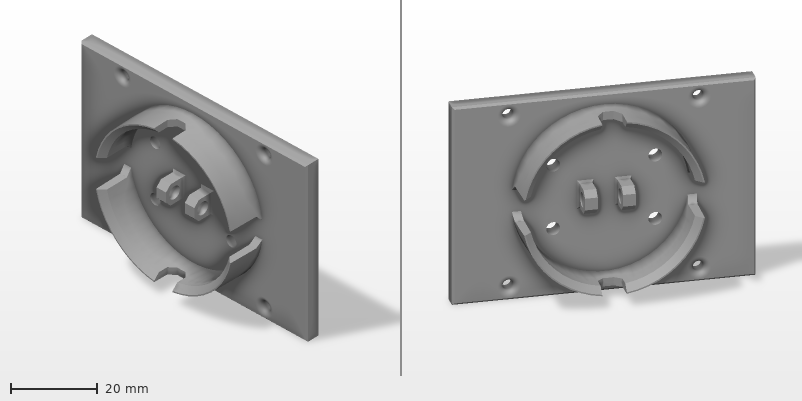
import cadquery as cq

plate_width = 72.25
plate_height = 50.0
plate_thickness = 4.0
plate_chamfer = 0.5
front_y = 0.0

total_depth = 14.0
ring_height = total_depth - plate_thickness
ring_base_radius = 22.2
ring_tip_radius = 22.0
ring_inner_radius = 20.0
rim_chamfer = 1.6

side_gap_width = 8.95
side_gap_chamfer = 1.7
notch_width = 5.85
notch_chamfer = 1.65
notch_floor_height = 4.0

corner_spacing_x = 45.2
corner_spacing_z = 43.2
corner_hole_diameter = 2.5
corner_mouth_diameter = 5.5
corner_mouth_radius = (corner_mouth_diameter - corner_hole_diameter) / 2
inner_spacing_x = 24.3
inner_spacing_z = 16.05
inner_hole_diameter = 3.25

lug_spacing = 9.0
lug_width = 3.0
lug_length = 6.0
lug_height = 6.0
lug_corner_chamfer = 1.5
lug_hole_diameter = 3.6
lug_hole_height = 3.2
lug_foot = 0.5


def front_plane(height=0.0):
    """Plane parallel to the plate, facing -Y, at a height above its front face."""
    return cq.Workplane("XZ", origin=(0, front_y - height, 0))


def make_plate():
    plate = front_plane().rect(plate_width, plate_height).extrude(-plate_thickness)
    return plate.faces("<Y").edges().chamfer(plate_chamfer)


def opening_points(width, chamfer, floor_height):
    """Outline of an opening as (across, height), with chamfered floor corners."""
    half = width / 2
    return [
        (-half, ring_height),
        (-half, floor_height + chamfer),
        (-half + chamfer, floor_height),
        (half - chamfer, floor_height),
        (half, floor_height + chamfer),
        (half, ring_height),
    ]


def make_ring():
    profile = [
        (ring_inner_radius, front_y),
        (ring_base_radius, front_y),
        (ring_tip_radius, front_y - ring_height),
        (ring_inner_radius + rim_chamfer, front_y - ring_height),
        (ring_inner_radius, front_y - ring_height + rim_chamfer),
    ]
    ring = cq.Workplane("XY").polyline(profile).close().revolve(360, (0, 0, 0), (0, 1, 0))

    side_gap = [
        (front_y - height, across)
        for across, height in opening_points(side_gap_width, side_gap_chamfer, 0)
    ]
    notch = [
        (across, front_y - height)
        for across, height in opening_points(notch_width, notch_chamfer, notch_floor_height)
    ]
    ring = ring.cut(cq.Workplane("YZ").polyline(side_gap).close().extrude(plate_width, both=True))
    return ring.cut(cq.Workplane("XY").polyline(notch).close().extrude(plate_height, both=True))


def make_lug(x):
    lug = front_plane().center(x, 0).rect(lug_width, lug_length).extrude(lug_height)
    lug = lug.faces("<Y").edges("|X").chamfer(lug_corner_chamfer)
    foot = (
        front_plane()
        .center(x, 0)
        .rect(lug_width + 2 * lug_foot, lug_length + 2 * lug_foot)
        .workplane(offset=lug_foot)
        .rect(lug_width, lug_length)
        .loft(ruled=True)
    )
    bore = (
        cq.Workplane("YZ", origin=(x, front_y - lug_hole_height, 0))
        .circle(lug_hole_diameter / 2)
        .extrude(lug_width, both=True)
    )
    return lug.union(foot).cut(bore)


def hole_pattern(spacing_x, spacing_z, diameter):
    """Four pins through the plate at the corners of a rectangle."""
    return front_plane().rarray(spacing_x, spacing_z, 2, 2).circle(diameter / 2).extrude(-plate_thickness)


def drill_holes(plate):
    plate = plate.cut(hole_pattern(corner_spacing_x, corner_spacing_z, corner_hole_diameter))
    plate = plate.faces("<Y").edges("%CIRCLE").fillet(corner_mouth_radius)
    return plate.cut(hole_pattern(inner_spacing_x, inner_spacing_z, inner_hole_diameter))


result = drill_holes(make_plate()).union(make_ring())
for side in (-1, 1):
    result = result.union(make_lug(side * lug_spacing / 2))